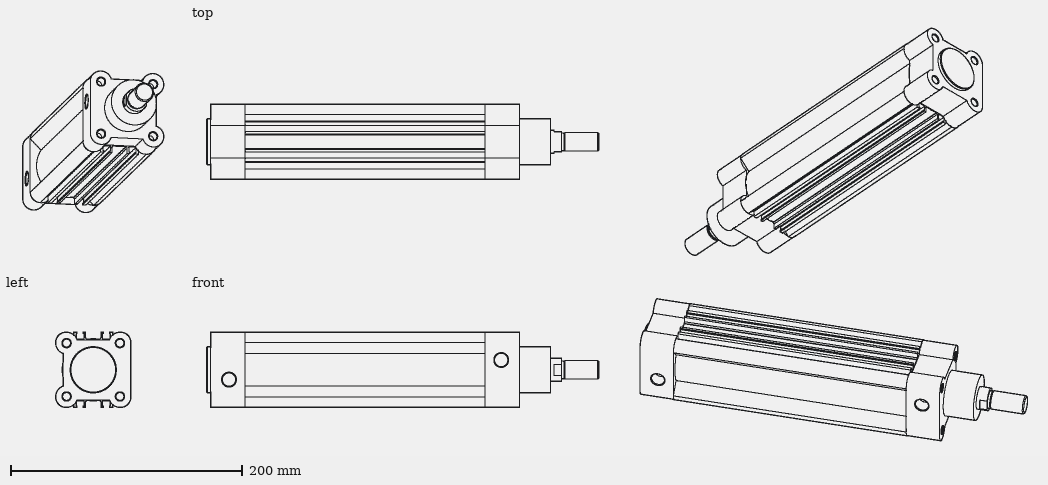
import cadquery as cq
import math

boss_length = 3.5
cap_length = 30.0
barrel_length = 207.5
collar_length = 26.8
total_length = 339.0

rear_cap_start = boss_length
barrel_start = rear_cap_start + cap_length
front_cap_start = barrel_start + barrel_length
front_cap_end = front_cap_start + cap_length
collar_end = front_cap_end + collar_length

half_width = 32.5
bolt_offset = 23.0
lobe_radius = half_width - bolt_offset
waist_width = 52.0
cap_waist = waist_width / 2
boss_radius = 20.0
boss_chamfer = 0.7

bolt_hole_radius = 3.5
bolt_hole_depth = 13.5
bolt_chamfer = 0.7
port_radius = 5.8
port_chamfer = 0.7
port_depth = 12.0
port_offset_z = 8.5
port_from_outer_face = 16.0

barrel_diameter = 54.0
barrel_radius = barrel_diameter / 2
corner_center = 23.7
corner_radius = half_width - corner_center
corner_flank_offset = half_width - corner_center
slot_floor = 26.8
outer_rib_outside = 17.0
outer_rib_inside = 14.5
inner_rib_outside = 8.0
inner_rib_inside = 6.8
rib_foot = 1.0
hook_overhang = 0.7
hook_thickness = 1.5

rod_diameter = 20.0
rod_radius = rod_diameter / 2
flat_start = 300.5
flat_half_width = 8.8
shoulder_end = 306.8
neck_end = 308.8
neck_radius = 7.8
thread_radius = 8.0
thread_chamfer = 1.0


def box_between(x0, x1, y0, y1, z0, z1):
    """Axis-aligned box given by its limits."""
    return cq.Workplane("XY").box(x1 - x0, y1 - y0, z1 - z0, centered=False).translate((x0, y0, z0))


def rod_along_x(x0, x1, radius):
    """Cylinder on the X axis."""
    return cq.Workplane("YZ", origin=(x0, 0, 0)).circle(radius).extrude(x1 - x0)


def cap_block(x0):
    """Cap with four corner lobes, flat on -Y and waisted on the other three sides."""
    lobes = (
        cq.Workplane("YZ", origin=(x0, 0, 0))
        .rect(2 * bolt_offset, 2 * bolt_offset, forConstruction=True)
        .vertices()
        .circle(lobe_radius)
        .extrude(cap_length)
    )
    x1 = x0 + cap_length
    core = box_between(x0, x1, -bolt_offset, cap_waist, -cap_waist, cap_waist)
    port_side = box_between(x0, x1, -half_width, -bolt_offset, -bolt_offset, bolt_offset)
    return core.union(port_side).union(lobes)


def cut_bolt_holes(cap, face_x, inward):
    """Four chamfered blind holes in the cap face at face_x, drilled along inward (+1 or -1)."""
    mouth_radius = bolt_hole_radius + bolt_chamfer
    for y in (-bolt_offset, bolt_offset):
        for z in (-bolt_offset, bolt_offset):
            hole = (
                cq.Workplane("XY")
                .polyline([
                    (0, 0),
                    (0, mouth_radius),
                    (inward * bolt_chamfer, bolt_hole_radius),
                    (inward * bolt_hole_depth, bolt_hole_radius),
                    (inward * bolt_hole_depth, 0),
                ])
                .close()
                .revolve(360, (0, 0, 0), (1, 0, 0))
            )
            cap = cap.cut(hole.translate((face_x, y, z)))
    return cap


def cut_port(cap, x, z):
    """Blind air port with a chamfered mouth in the -Y face."""
    port = cq.Workplane("XZ", origin=(x, -half_width, z)).circle(port_radius).extrude(-port_depth)
    mouth = (
        cq.Workplane("XZ", origin=(x, -half_width, z))
        .circle(port_radius + port_chamfer)
        .workplane(offset=-port_chamfer)
        .circle(port_radius)
        .loft()
    )
    return cap.cut(port).cut(mouth)


def make_rear_cap():
    """Rear cap with its centring boss on -X."""
    boss = rod_along_x(0, barrel_start, boss_radius).faces("<X").chamfer(boss_chamfer)
    cap = cap_block(rear_cap_start).union(boss)
    cap = cut_bolt_holes(cap, rear_cap_start, 1)
    return cut_port(cap, rear_cap_start + port_from_outer_face, -port_offset_z)


def make_front_cap():
    """Front cap with its bearing collar on +X."""
    cap = cap_block(front_cap_start).union(rod_along_x(front_cap_start, collar_end, boss_radius))
    cap = cut_bolt_holes(cap, front_cap_end, -1)
    return cut_port(cap, front_cap_end - port_from_outer_face, port_offset_z)


def barrel_plane():
    """YZ work plane at the rear end of the barrel."""
    return cq.Workplane("YZ", origin=(barrel_start, 0, 0))


def barrel_corner():
    """Rounded corner at +Y +Z whose sides run at 45 degrees back to the core."""
    arc_middle = corner_center + corner_radius * math.sqrt(0.5)
    return (
        barrel_plane()
        .moveTo(corner_flank_offset, 0)
        .lineTo(half_width, corner_center)
        .threePointArc((arc_middle, arc_middle), (corner_center, half_width))
        .lineTo(0, corner_flank_offset)
        .close()
        .extrude(barrel_length)
    )


def slot_ribs():
    """Floor and two hooked ribs of the sensor slot at +Y +Z; the inner rib has a sloped foot."""
    floor_end = slot_floor - corner_flank_offset
    hook_bottom = half_width - hook_thickness
    return (
        barrel_plane()
        .polyline([
            (inner_rib_inside - rib_foot, 0),
            (inner_rib_inside - rib_foot, slot_floor),
            (inner_rib_inside, slot_floor + rib_foot),
            (inner_rib_inside, half_width),
            (inner_rib_outside + hook_overhang, half_width),
            (inner_rib_outside + hook_overhang, hook_bottom),
            (inner_rib_outside, hook_bottom),
            (inner_rib_outside, slot_floor),
            (outer_rib_inside, slot_floor),
            (outer_rib_inside, hook_bottom),
            (outer_rib_inside - hook_overhang, hook_bottom),
            (outer_rib_inside - hook_overhang, half_width),
            (outer_rib_outside, half_width),
            (outer_rib_outside, slot_floor),
            (floor_end, slot_floor),
            (floor_end, 0),
        ])
        .close()
        .extrude(barrel_length)
    )


def make_barrel():
    """Round barrel with four corners and a pair of sensor slots on both +Z and -Z."""
    barrel = barrel_plane().circle(barrel_radius).extrude(barrel_length)
    quarter = barrel_corner().union(slot_ribs())
    half = quarter.union(quarter.mirror("XZ"))
    return barrel.union(half).union(half.mirror("XY"))


def make_piston_rod():
    """Rod with wrench flats, an undercut neck and a plain thread stud."""
    rod = rod_along_x(collar_end, shoulder_end, rod_radius)
    for y0 in (flat_half_width, -flat_half_width - rod_radius):
        rod = rod.cut(box_between(flat_start, shoulder_end, y0, y0 + rod_radius, -rod_radius, rod_radius))
    neck = rod_along_x(shoulder_end, neck_end, neck_radius)
    thread = rod_along_x(neck_end, total_length, thread_radius).faces("<X or >X").chamfer(thread_chamfer)
    return rod.union(neck).union(thread)


rear_cap = make_rear_cap()
barrel = make_barrel()
front_cap = make_front_cap()
piston_rod = make_piston_rod()

result = cq.Compound.makeCompound([rear_cap.val(), barrel.val(), front_cap.val(), piston_rod.val()])